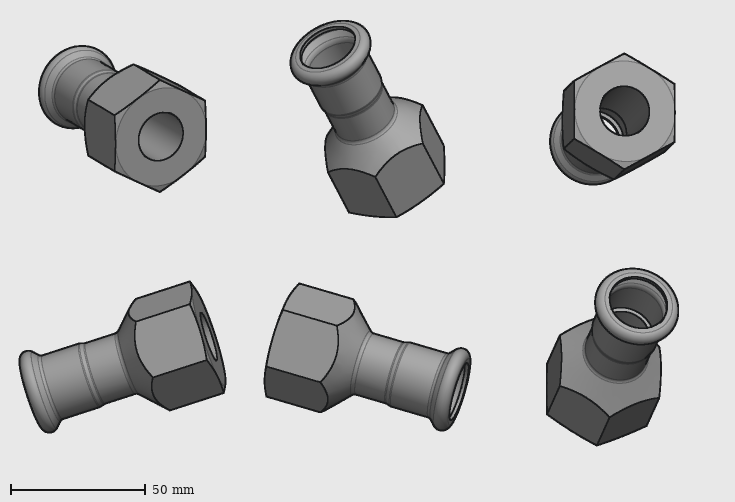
import cadquery as cq
import math

length = 70.0
hex_flats = 38.0
hex_corner_radius = hex_flats / math.sqrt(3)

bead_outer_radius = 15.9
bead_round = 3.0
bead_center_radius = bead_outer_radius - bead_round

socket_outer_radius = 25.0 / 2
neck_outer_radius = 23.8 / 2
step_start = 23.1
step_end = 25.05
body_blend = 1.7
neck_end = 37.95
neck_blend = 2.1

end_chamfer_angle = 15.0

socket_radius = 22.05 / 2
bore_radius = 18.7 / 2
socket_depth = step_start
wall = socket_outer_radius - socket_radius
groove_start = wall
groove_round = bead_round - wall
groove_flank_end = bead_round + bead_center_radius - socket_radius + groove_round * math.sqrt(2)

diagonal = math.sqrt(0.5)


def revolve_about_axis(profile):
    """Revolve a closed profile drawn as (X, radius) about the X axis."""
    return profile.close().revolve(360, (0, 0, 0), (1, 0, 0))


def tangent_blend(profile, corner, angle_in, angle_out, radius):
    """Continue a profile through a corner rounded by a tangent arc; angles are in degrees."""
    a_in = math.radians(angle_in)
    a_out = math.radians(angle_out)
    setback = radius * math.tan(abs(a_out - a_in) / 2)
    start = (corner[0] - setback * math.cos(a_in), corner[1] - setback * math.sin(a_in))
    end = (corner[0] + setback * math.cos(a_out), corner[1] + setback * math.sin(a_out))
    return profile.lineTo(*start).tangentArcPoint(end, relative=False)


def make_tube():
    """Beaded tube that flares at 45 degrees into the hexagonal end."""
    flank_start = (
        bead_round * (1 + diagonal),
        bead_center_radius + bead_round * diagonal,
    )
    flank_end = flank_start[0] + flank_start[1] - socket_outer_radius
    step_angle = math.degrees(math.atan2(neck_outer_radius - socket_outer_radius, step_end - step_start))
    flare_end = neck_end + hex_corner_radius - neck_outer_radius
    chamfer_length = (hex_corner_radius - hex_flats / 2) * math.tan(math.radians(end_chamfer_angle))

    profile = (
        cq.Workplane("XY")
        .lineTo(0, bead_center_radius)
        .threePointArc(
            (bead_round * (1 - diagonal), bead_center_radius + bead_round * diagonal),
            flank_start,
        )
    )
    profile = tangent_blend(profile, (flank_end, socket_outer_radius), -45, 0, body_blend)
    profile = tangent_blend(profile, (step_start, socket_outer_radius), 0, step_angle, body_blend)
    profile = tangent_blend(profile, (step_end, neck_outer_radius), step_angle, 0, body_blend)
    profile = tangent_blend(profile, (neck_end, neck_outer_radius), 0, 45, neck_blend)
    profile = (
        profile.lineTo(flare_end, hex_corner_radius)
        .lineTo(length - chamfer_length, hex_corner_radius)
        .lineTo(length, hex_flats / 2)
        .lineTo(length, 0)
    )
    return revolve_about_axis(profile)


def make_hexagon():
    """Full-length hexagonal prism with flats facing +Y and -Y."""
    return (
        cq.Workplane("YZ")
        .polygon(6, 2 * hex_corner_radius)
        .extrude(length)
        .rotate((0, 0, 0), (1, 0, 0), 90)
    )


def make_socket():
    """Pipe socket that ends at a flat shoulder."""
    return cq.Workplane("YZ").circle(socket_radius).extrude(socket_depth)


def make_seal_groove():
    """Internal groove that follows the bead at a constant wall thickness."""
    profile = (
        cq.Workplane("XY")
        .moveTo(groove_start, socket_radius)
        .lineTo(groove_start, bead_center_radius)
        .threePointArc(
            (bead_round - groove_round * diagonal, bead_center_radius + groove_round * diagonal),
            (bead_round + groove_round * diagonal, bead_center_radius + groove_round * diagonal),
        )
    )
    profile = tangent_blend(profile, (groove_flank_end, socket_radius), -45, 0, body_blend + wall)
    return revolve_about_axis(profile)


bore = cq.Workplane("YZ").circle(bore_radius).extrude(length)

result = (
    make_tube()
    .intersect(make_hexagon())
    .cut(make_socket())
    .cut(make_seal_groove())
    .cut(bore)
)